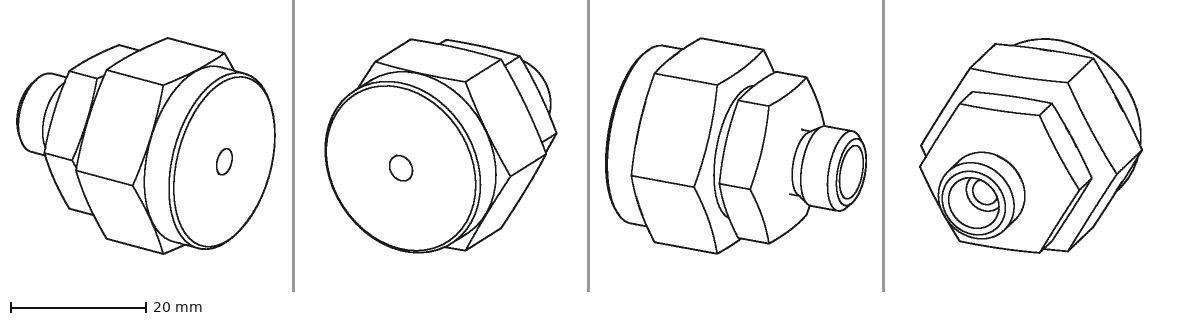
import cadquery as cq
import math

length = 34.2
small_hex_start = 10.02
small_hex_end = 16.0
nut_hex_start = 17.75
nut_hex_end = 29.2

small_hex_flats = 22.0
nut_hex_flats = 27.0
collar_radius = 10.02
nut_skirt_radius = 13.4
nut_skirt_chamfer = 0.5
hex_chamfer_angle = 15.0

stud_radius = 6.02
stud_chamfer = 1.0
stud_thread_end = 5.4
neck_radius = 4.85
neck_start = 7.4
neck_fillet = 1.0

mouth_radius = 4.0
seat_radius = 3.0
through_radius = 2.0
mouth_half_angle = 12.0


def revolve_about_x(profile):
    """Revolve an XY profile a full turn about the X axis."""
    return profile.close().revolve(360, (0, 0, 0), (1, 0, 0))


def cylinder_along_x(start, end, radius):
    """Plain cylinder on the X axis between two stations."""
    return cq.Workplane("YZ", origin=(start, 0, 0)).circle(radius).extrude(end - start)


def chamfered_hex(start, end, flats):
    """Hexagon along X with flats facing up and down and its corners turned off at both ends."""
    corner_radius = flats / math.sqrt(3)
    flat_radius = flats / 2
    chamfer = (corner_radius - flat_radius) * math.tan(math.radians(hex_chamfer_angle))
    prism = cq.Workplane("YZ", origin=(start, 0, 0)).polygon(6, 2 * corner_radius).extrude(end - start)
    turned = revolve_about_x(
        cq.Workplane("XY")
        .moveTo(start, 0)
        .lineTo(start, flat_radius)
        .lineTo(start + chamfer, corner_radius)
        .lineTo(end - chamfer, corner_radius)
        .lineTo(end, flat_radius)
        .lineTo(end, 0)
    )
    return prism.intersect(turned)


def stud():
    """Stud with a chamfered tip, a coned step to the neck and a fillet into the hexagon face."""
    fillet_start = small_hex_start - neck_fillet
    fillet_diagonal = neck_fillet * math.sqrt(0.5)
    return revolve_about_x(
        cq.Workplane("XY")
        .moveTo(0, 0)
        .lineTo(0, stud_radius - stud_chamfer)
        .lineTo(stud_chamfer, stud_radius)
        .lineTo(stud_thread_end, stud_radius)
        .lineTo(neck_start, neck_radius)
        .lineTo(fillet_start, neck_radius)
        .threePointArc(
            (fillet_start + fillet_diagonal, neck_radius + neck_fillet - fillet_diagonal),
            (small_hex_start, neck_radius + neck_fillet),
        )
        .lineTo(small_hex_start, 0)
    )


def collar():
    """Round collar joining the two hexagons."""
    return cylinder_along_x(small_hex_end, nut_hex_start, collar_radius)


def nut_skirt():
    """Round end of the nut with a chamfered rim."""
    skirt = cylinder_along_x(nut_hex_end, length, nut_skirt_radius)
    return skirt.faces(">X").chamfer(nut_skirt_chamfer)


def bore():
    """Tapered mouth ending on a flat seat, then a hole right through."""
    mouth_depth = (mouth_radius - seat_radius) / math.tan(math.radians(mouth_half_angle))
    return revolve_about_x(
        cq.Workplane("XY")
        .moveTo(0, 0)
        .lineTo(0, mouth_radius)
        .lineTo(mouth_depth, seat_radius)
        .lineTo(mouth_depth, through_radius)
        .lineTo(length, through_radius)
        .lineTo(length, 0)
    )


small_hex = chamfered_hex(small_hex_start, small_hex_end, small_hex_flats)
nut_hex = chamfered_hex(nut_hex_start, nut_hex_end, nut_hex_flats)

result = stud().union(small_hex).union(collar()).union(nut_hex).union(nut_skirt()).cut(bore())